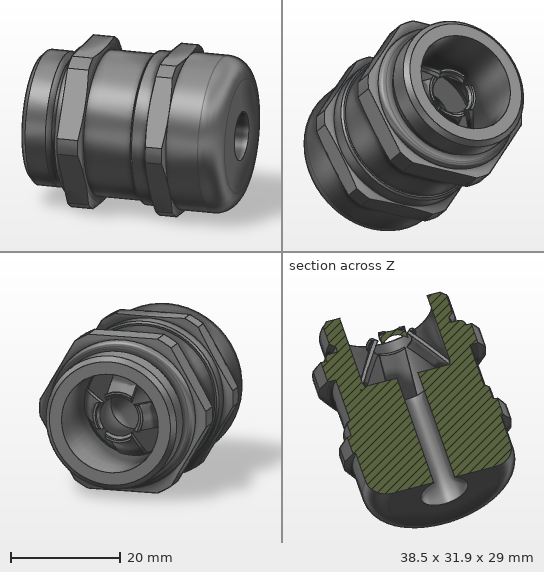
import cadquery as cq
import math

LENGTH = 38.5

THREAD_DIA = 25.0
UNDERCUT_DIA = 23.18
THREAD_CHAMFER = (THREAD_DIA - UNDERCUT_DIA) / 2
THREAD_END = 5.7

RING_START = 6.75
RING_SECTION_RADIUS = 1.0
RING_DIA = 27.87

BODY_DIA = 27.0
COLLAR_START = 21.45
COLLAR_DIA = 28.4
COLLAR_CHAMFER = 0.4

ACROSS_FLATS = 29.0
CORNER_DIA = 31.88
BODY_HEX_START = 8.05
BODY_HEX_END = 12.45
CAP_HEX_START = 24.5
CAP_HEX_END = 28.5
HEX_TURN = 30
HEX_CHAMFER_ANGLE = math.radians(15)
CAP_FRONT_FACE_DIA = 28.5

CAP_DIA = ACROSS_FLATS
CAP_ROUNDING = 3.93

BORE_DIA = 18.5
BORE_DEPTH = 14.63
INNER_BORE_DIA = 18.2
FLOOR_DEPTH = 15.2
CABLE_HOLE_DIA = 9.0

FINGER_WIDTH = 4.93
FINGER_SLOPE = math.tan(math.radians(30))
TIP_DEPTH = 5.0
TIP_OUTER_DIA = 9.55
TIP_INNER_DIA = 8.7
THROAT_DEPTH = 5.78
THROAT_DIA = 7.4
FINGER_THICKNESS = 0.75
LIP_LENGTH = 0.42
LIP_BACK_DIA = 9.25
ROOT_OVERLAP = 0.2


def revolve_about_x(profile):
    """Turn a closed (x, radius) profile a full revolution about the X axis."""
    return profile.close().revolve(360, (0, 0, 0), (1, 0, 0))


def cylinder(start, end, diameter):
    return cq.Workplane("YZ").workplane(offset=start).circle(diameter / 2).extrude(end - start)


def make_spigot():
    thread_radius = THREAD_DIA / 2
    undercut_radius = UNDERCUT_DIA / 2
    profile = (
        cq.Workplane("XY")
        .lineTo(0, undercut_radius)
        .lineTo(THREAD_CHAMFER, thread_radius)
        .lineTo(THREAD_END - THREAD_CHAMFER, thread_radius)
        .lineTo(THREAD_END, undercut_radius)
        .lineTo(BODY_HEX_START, undercut_radius)
        .lineTo(BODY_HEX_START, 0)
    )
    return revolve_about_x(profile)


def make_sealing_ring():
    """Ring with a flat front face and a circular section that runs on to the hexagon."""
    center_x = RING_START + RING_SECTION_RADIUS
    center_radius = RING_DIA / 2 - RING_SECTION_RADIUS
    run_on = BODY_HEX_START - center_x
    end_radius = center_radius + math.sqrt(RING_SECTION_RADIUS**2 - run_on**2)
    profile = (
        cq.Workplane("XY")
        .moveTo(RING_START, 0)
        .lineTo(RING_START, center_radius)
        .threePointArc((center_x, RING_DIA / 2), (BODY_HEX_START, end_radius))
        .lineTo(BODY_HEX_START, 0)
    )
    return revolve_about_x(profile)


def make_hexagon(start, end, front_dia, back_dia):
    """Hexagon with flats facing +Z and -Z; its ends are cones starting at the given diameters."""
    corner_radius = CORNER_DIA / 2
    front_depth = (CORNER_DIA - front_dia) / 2 * math.tan(HEX_CHAMFER_ANGLE)
    back_depth = (CORNER_DIA - back_dia) / 2 * math.tan(HEX_CHAMFER_ANGLE)
    envelope = cq.Workplane("XY").moveTo(start, 0).lineTo(start, front_dia / 2)
    if front_depth > 0:
        envelope = envelope.lineTo(start + front_depth, corner_radius)
    envelope = envelope.lineTo(end - back_depth, corner_radius)
    envelope = envelope.lineTo(end, back_dia / 2).lineTo(end, 0)
    prism = (
        cq.Workplane("YZ")
        .workplane(offset=start)
        .polygon(6, ACROSS_FLATS, circumscribed=True)
        .extrude(end - start)
        .rotate((0, 0, 0), (1, 0, 0), HEX_TURN)
    )
    return prism.intersect(revolve_about_x(envelope))


def make_collar():
    collar = cylinder(COLLAR_START, CAP_HEX_START, COLLAR_DIA)
    return collar.faces("<X").chamfer(COLLAR_CHAMFER)


def make_cap():
    cap = cylinder(CAP_HEX_END, LENGTH, CAP_DIA)
    return cap.faces(">X").edges().fillet(CAP_ROUNDING)


def make_fingers():
    """Four fingers leaning in from the bore wall to a throat, each with a lip at its tip."""
    wall_radius = BORE_DIA / 2 + ROOT_OVERLAP
    inner_radius = THROAT_DIA / 2
    outer_radius = inner_radius + FINGER_THICKNESS
    lip_end = TIP_DEPTH + LIP_LENGTH
    lip_root_radius = outer_radius - (THROAT_DEPTH - lip_end) * FINGER_SLOPE
    profile = (
        cq.Workplane("XY")
        .moveTo(TIP_DEPTH, TIP_INNER_DIA / 2)
        .lineTo(TIP_DEPTH, TIP_OUTER_DIA / 2)
        .lineTo(lip_end, LIP_BACK_DIA / 2)
        .lineTo(lip_end, lip_root_radius)
        .lineTo(THROAT_DEPTH + (wall_radius - outer_radius) / FINGER_SLOPE, wall_radius)
        .lineTo(THROAT_DEPTH + (wall_radius - inner_radius) / FINGER_SLOPE, wall_radius)
        .lineTo(THROAT_DEPTH, inner_radius)
    )
    strip = cq.Workplane("YZ").rect(FINGER_WIDTH, THREAD_DIA).extrude(LENGTH)
    cross = strip.union(strip.rotate((0, 0, 0), (1, 0, 0), 90))
    return revolve_about_x(profile).intersect(cross)


body = (
    make_spigot()
    .union(make_sealing_ring())
    .union(make_hexagon(BODY_HEX_START, BODY_HEX_END, CORNER_DIA, ACROSS_FLATS))
    .union(cylinder(BODY_HEX_END, COLLAR_START, BODY_DIA))
    .union(make_collar())
    .union(make_hexagon(CAP_HEX_START, CAP_HEX_END, CAP_FRONT_FACE_DIA, ACROSS_FLATS))
    .union(make_cap())
)

result = (
    body
    .cut(cylinder(0, BORE_DEPTH, BORE_DIA))
    .cut(cylinder(BORE_DEPTH, FLOOR_DEPTH, INNER_BORE_DIA))
    .cut(cylinder(FLOOR_DEPTH, LENGTH, CABLE_HOLE_DIA))
    .union(make_fingers())
)